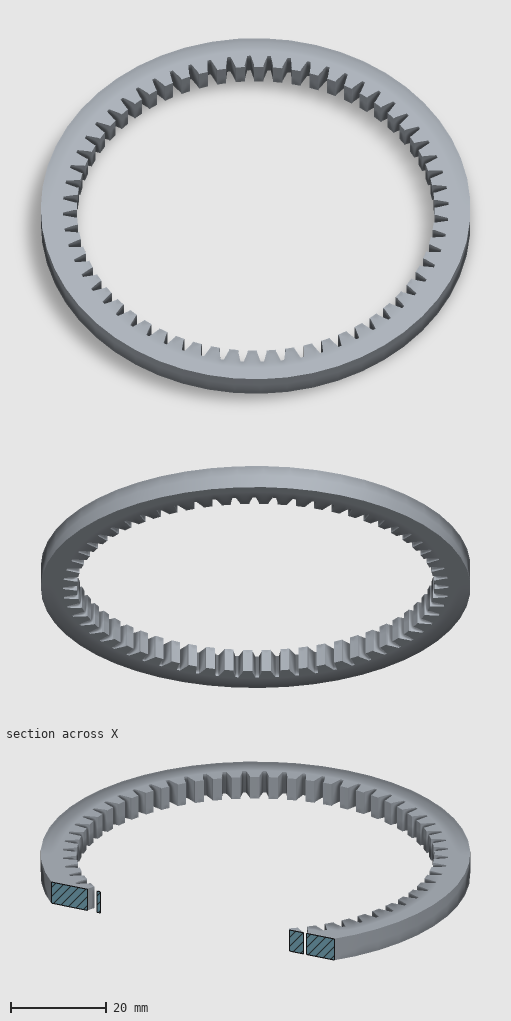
import cadquery as cq
import math

OUTER_RADIUS = 45.0
THICKNESS = 5.0

TOOTH_COUNT = 60
TIP_RADIUS = 37.45
KNEE_RADIUS = 37.9
ROOT_RADIUS = 40.38
FIRST_GAP_ANGLE = -1.5
ROOT_HALF_ANGLE = 0.5

ANGULAR_PITCH = 360.0 / TOOTH_COUNT
MOUTH_HALF_ANGLE = ANGULAR_PITCH / 4


def polar_point(radius, angle):
    """Point in the XY plane at the given radius and angle in degrees."""
    return (radius * math.cos(math.radians(angle)), radius * math.sin(math.radians(angle)))


def tooth_outline():
    """Closed inner outline: each gap is followed by the tip of the next tooth."""
    start = polar_point(TIP_RADIUS, FIRST_GAP_ANGLE - MOUTH_HALF_ANGLE)
    outline = cq.Workplane("XY").moveTo(*start)
    for index in range(TOOTH_COUNT):
        gap = FIRST_GAP_ANGLE + index * ANGULAR_PITCH
        tooth = gap + ANGULAR_PITCH / 2
        outline = outline.lineTo(*polar_point(KNEE_RADIUS, gap - MOUTH_HALF_ANGLE))
        outline = outline.lineTo(*polar_point(ROOT_RADIUS, gap - ROOT_HALF_ANGLE))
        outline = outline.threePointArc(
            polar_point(ROOT_RADIUS, gap),
            polar_point(ROOT_RADIUS, gap + ROOT_HALF_ANGLE),
        )
        outline = outline.lineTo(*polar_point(KNEE_RADIUS, gap + MOUTH_HALF_ANGLE))
        outline = outline.lineTo(*polar_point(TIP_RADIUS, gap + MOUTH_HALF_ANGLE))
        outline = outline.threePointArc(
            polar_point(TIP_RADIUS, tooth),
            polar_point(TIP_RADIUS, gap + ANGULAR_PITCH - MOUTH_HALF_ANGLE),
        )
    return outline.close()


def ring_gear():
    """Round ring with the toothed opening cut through it."""
    blank = cq.Workplane("XY").circle(OUTER_RADIUS).extrude(THICKNESS)
    return blank.cut(tooth_outline().extrude(THICKNESS))


result = ring_gear()